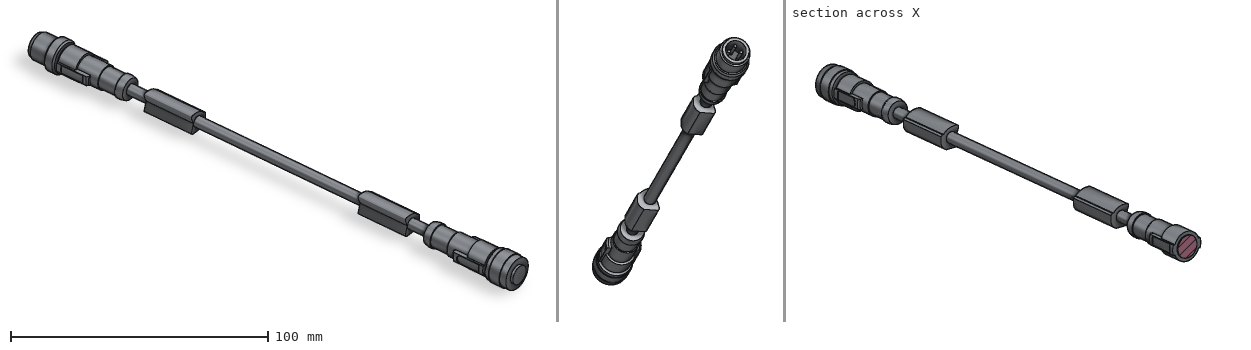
import cadquery as cq

TOTAL_LENGTH = 240.8
OUTER_DIAMETER = 14.7
CABLE_RADIUS = 2.5

GRIP_FRONT_RADIUS = 6.3
GRIP_MIDDLE_RADIUS = 5.3
GRIP_SLEEVE_RADIUS = 4.8
GRIP_COLLAR_RADIUS = 5.3
GRIP_COLLAR_BULGE = 0.2
GRIP_FRONT_END = 8.7
GRIP_MIDDLE_END = 19.3
GRIP_SLEEVE_END = 27.7
GRIP_LENGTH = 31.3
MALE_GRIP_START = 15.5
FEMALE_GRIP_START = 12.8
NECK_RADIUS = 4.8

RIB_RADIUS = 7.0
RIB_WIDTH = 4.3
RIB_LENGTH = 15.5
RIB_CHAMFER = 0.7
PANEL_START = 2.2
PANEL_LENGTH = 10.8
PANEL_WIDTH = 3.9
PANEL_DEPTH = 0.5
ARROW_LENGTH = 1.2
ARROW_TIP_WIDTH = 1.5

BARREL_RADIUS = 6.0
TIP_RADIUS = 5.3
TIP_LENGTH = 1.7
BARREL_END = 9.2
BORE_RADIUS = 4.0
BORE_DEPTH = 9.6
PIN_RADIUS = 0.6
PIN_CIRCLE_RADIUS = 2.5
PIN_COUNT = 3
PIN_LENGTH = 8.2
MALE_RING_RADIUS = OUTER_DIAMETER / 2
MALE_RING_END = 14.2
MALE_RING_CHAMFER = 0.7

NOSE_RADIUS = 4.0
NOSE_LENGTH = 1.2
FRONT_RING_RADIUS = 7.0
FRONT_RING_END = 4.3
MAIN_RING_RADIUS = OUTER_DIAMETER / 2
MAIN_RING_END = 9.6
REAR_RING_RADIUS = 7.0
REAR_RING_END = 11.5

CLIP_LENGTH = 23.5
MALE_CLIP_START = 56.5
FEMALE_CLIP_START = 163.3
CLIP_HALF_HEIGHT = 4.5
CLIP_LIP_Y = -4.0
CLIP_LIP_FILLET = 1.0
CLIP_GROOVE_Y = -2.6
CLIP_GROOVE_WIDTH = 0.5
CLIP_CROWN_EDGE_Y = -1.0
CLIP_STEP_Z = 2.2
CLIP_STEP_Y = 3.9
CLIP_STEP_WIDTH = 0.5
CLIP_BACK_Y = 5.0
CLIP_BACK_HALF_HEIGHT = 1.5
CLIP_CROWN_MIDDLE = (1.7, 3.9)
CLIP_BELLY_MIDDLE = (4.0, -3.4)
CLIP_BELLY_EDGE_Y = 2.5


def cylinder(start, end, radius):
    """Cylinder on the cable axis between two X positions."""
    return cq.Workplane("YZ").workplane(offset=start).circle(radius).extrude(end - start)


def ribs():
    """Both flank ribs starting at X = 0: a larger cylinder trimmed to a flat slab through the axis."""
    envelope = cylinder(0, RIB_LENGTH, RIB_RADIUS).faces(">X").chamfer(RIB_CHAMFER)
    slab = cq.Workplane("XY").box(
        RIB_LENGTH, 2 * RIB_RADIUS, RIB_WIDTH, centered=(False, True, True)
    )
    return envelope.intersect(slab)


def panel(side, pointed):
    """Label panel cut into a rib; a pointed panel ends in an arrow towards the cable."""
    half = PANEL_WIDTH / 2
    tip_half = ARROW_TIP_WIDTH / 2
    end = PANEL_START + PANEL_LENGTH
    outline = cq.Workplane("XZ", origin=(0, side * RIB_RADIUS, 0)).moveTo(PANEL_START, -half)
    if pointed:
        outline = outline.lineTo(end - ARROW_LENGTH, -half).lineTo(end, -tip_half)
        outline = outline.lineTo(end, tip_half).lineTo(end - ARROW_LENGTH, half)
    else:
        outline = outline.lineTo(end, -half).lineTo(end, half)
    return outline.lineTo(PANEL_START, half).close().extrude(PANEL_DEPTH, both=True)


def grip_collar():
    """Ring with a bulging rim that narrows towards the cable."""
    middle = (GRIP_SLEEVE_END + GRIP_LENGTH) / 2
    mean_radius = (GRIP_COLLAR_RADIUS + GRIP_SLEEVE_RADIUS) / 2
    return (
        cq.Workplane("XY")
        .moveTo(GRIP_SLEEVE_END, 0)
        .lineTo(GRIP_SLEEVE_END, GRIP_COLLAR_RADIUS)
        .threePointArc((middle, mean_radius + GRIP_COLLAR_BULGE), (GRIP_LENGTH, GRIP_SLEEVE_RADIUS))
        .lineTo(GRIP_LENGTH, 0)
        .close()
        .revolve(360, (0, 0, 0), (1, 0, 0))
    )


def grip(pointed):
    """Grip with its mating end at X = 0 and its cable end at X = GRIP_LENGTH."""
    body = cylinder(0, GRIP_FRONT_END, GRIP_FRONT_RADIUS)
    body = body.union(cylinder(0, GRIP_MIDDLE_END, GRIP_MIDDLE_RADIUS))
    body = body.union(cylinder(0, GRIP_SLEEVE_END, GRIP_SLEEVE_RADIUS))
    body = body.union(grip_collar())
    body = body.union(ribs())
    for side in (1, -1):
        body = body.cut(panel(side, pointed))
    return body


def male_plug():
    """Plug with its open mating end at X = 0, including its grip."""
    thread = cylinder(TIP_LENGTH, BARREL_END, BARREL_RADIUS)
    ring = cylinder(BARREL_END, MALE_RING_END, MALE_RING_RADIUS)
    ring = ring.faces("<X or >X").chamfer(MALE_RING_CHAMFER)
    neck = cylinder(MALE_RING_END, MALE_GRIP_START, NECK_RADIUS)
    plug = cylinder(0, TIP_LENGTH, TIP_RADIUS).union(thread).union(ring).union(neck)
    plug = plug.cut(cylinder(0, BORE_DEPTH, BORE_RADIUS))
    pins = (
        cq.Workplane("YZ").workplane(offset=BORE_DEPTH - PIN_LENGTH)
        .polarArray(PIN_CIRCLE_RADIUS, 0, 180, PIN_COUNT)
        .circle(PIN_RADIUS).extrude(PIN_LENGTH)
    )
    return plug.union(pins).union(grip(False).translate((MALE_GRIP_START, 0, 0)))


def female_socket():
    """Socket built from its mating end, then turned to face +X at the far end of the cable."""
    socket = cylinder(0, NOSE_LENGTH, NOSE_RADIUS)
    socket = socket.union(cylinder(NOSE_LENGTH, FRONT_RING_END, FRONT_RING_RADIUS))
    socket = socket.union(cylinder(FRONT_RING_END, MAIN_RING_END, MAIN_RING_RADIUS))
    socket = socket.union(cylinder(MAIN_RING_END, REAR_RING_END, REAR_RING_RADIUS))
    socket = socket.union(cylinder(REAR_RING_END, FEMALE_GRIP_START, NECK_RADIUS))
    socket = socket.union(grip(True).translate((FEMALE_GRIP_START, 0, 0)))
    return socket.mirror("YZ").translate((TOTAL_LENGTH, 0, 0))


def clip(start):
    """Marker clip: V groove along -Y, sloping crown on top, stepped rounded back on +Y."""
    block = (
        cq.Workplane("YZ").workplane(offset=start)
        .moveTo(CLIP_LIP_Y, CLIP_HALF_HEIGHT)
        .lineTo(CLIP_CROWN_EDGE_Y, CLIP_HALF_HEIGHT)
        .threePointArc(CLIP_CROWN_MIDDLE, (CLIP_STEP_Y, CLIP_STEP_Z))
        .lineTo(CLIP_STEP_Y + CLIP_STEP_WIDTH, CLIP_STEP_Z)
        .lineTo(CLIP_BACK_Y, CLIP_BACK_HALF_HEIGHT)
        .lineTo(CLIP_BACK_Y, -CLIP_BACK_HALF_HEIGHT)
        .threePointArc(CLIP_BELLY_MIDDLE, (CLIP_BELLY_EDGE_Y, -CLIP_HALF_HEIGHT))
        .lineTo(CLIP_LIP_Y, -CLIP_HALF_HEIGHT)
        .lineTo(CLIP_GROOVE_Y, 0)
        .lineTo(CLIP_GROOVE_Y, CLIP_GROOVE_WIDTH)
        .close()
        .extrude(CLIP_LENGTH)
    )
    return block.edges("|X and <Y").fillet(CLIP_LIP_FILLET)


cable = cylinder(MALE_GRIP_START, TOTAL_LENGTH - FEMALE_GRIP_START, CABLE_RADIUS)
result = cable.union(male_plug()).union(female_socket())
for clip_start in (MALE_CLIP_START, FEMALE_CLIP_START):
    result = result.union(clip(clip_start))